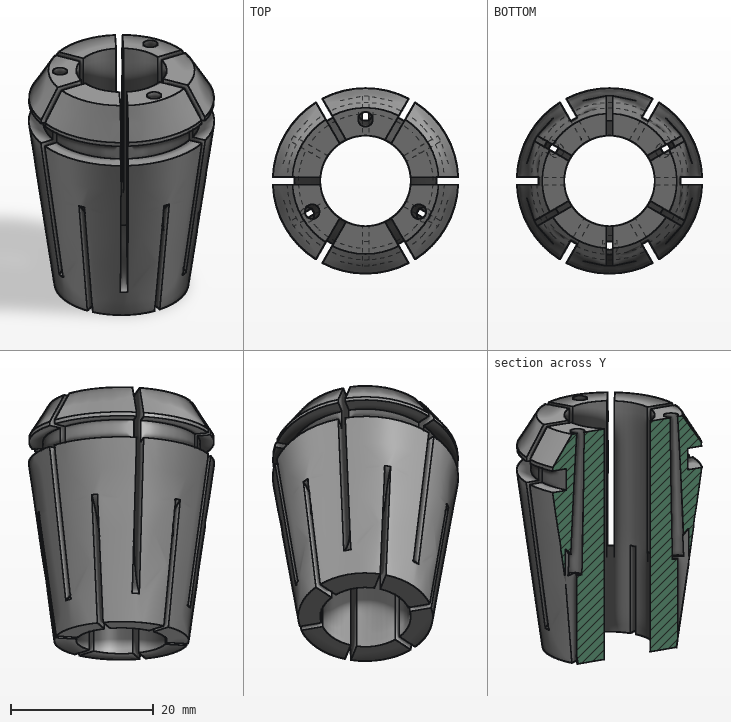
import cadquery as cq
import math

height = 34.0
bore_radius = 6.32
base_radius = 9.42
body_top_radius = 13.005
body_top_z = 25.9
neck_radius = 11.0
rim_radius = 12.95
rim_bottom_z = 29.0
rim_top_z = 29.58
head_top_radius = 10.25

slots_per_set = 6
slot_pitch = 360.0 / slots_per_set
slot_reach = body_top_radius + 1.7
upper_slot_width = 1.02
upper_slot_floor_z = 4.0
upper_slot_inner_z = 12.7
lower_slot_width = 0.85
lower_slot_top_z = 18.02
lower_slot_inner_z = 12.92
lower_runout_inner_radius = 8.43
runout_radius = 12.25

hole_count = 3
hole_radius = 1.02
hole_circle_radius = 8.6
hole_depth = 20.9
hole_tilt = 2.3
hole_overrun = 0.35
first_hole_angle = 90.0


def revolved_body():
    """Ring-shaped body turned about Z."""
    profile = [
        (bore_radius, 0),
        (base_radius, 0),
        (body_top_radius, body_top_z),
        (neck_radius, body_top_z),
        (neck_radius, rim_bottom_z),
        (rim_radius, rim_bottom_z),
        (rim_radius, rim_top_z),
        (head_top_radius, height),
        (bore_radius, height),
    ]
    return cq.Workplane("XZ").polyline(profile).close().revolve(360, (0, 0), (0, 1))


def body_radius_at(z):
    """Outer radius of the tapered body at height z."""
    return base_radius + (body_top_radius - base_radius) * z / body_top_z


def slot_cutter(width, skin_z, inner_x, inner_z, open_z):
    """Slot along +X from open_z, ending in an arc from (inner_x, inner_z) to skin_z at the taper.

    The arc bulges inward and toward the closed end, as a disc-shaped saw leaves it.
    """
    skin_x = body_radius_at(skin_z)
    run = skin_x - inner_x
    rise = skin_z - inner_z
    chord = math.hypot(run, rise)
    sagitta = runout_radius - math.sqrt(runout_radius**2 - (chord / 2) ** 2)
    middle_x = (inner_x + skin_x) / 2 - sagitta * abs(rise) / chord
    middle_z = (inner_z + skin_z) / 2 + sagitta * math.copysign(run, rise) / chord
    return (
        cq.Workplane("XZ")
        .moveTo(0, open_z)
        .lineTo(0, inner_z)
        .lineTo(inner_x, inner_z)
        .threePointArc((middle_x, middle_z), (skin_x, skin_z))
        .lineTo(slot_reach, skin_z)
        .lineTo(slot_reach, open_z)
        .close()
        .extrude(width / 2, both=True)
    )


def cut_around(body, cutter, count, first_angle):
    """Cut evenly spaced copies of a cutter around Z."""
    for index in range(count):
        angle = first_angle + index * 360.0 / count
        body = body.cut(cutter.rotate((0, 0, 0), (0, 0, 1), angle))
    return body


upper_slot = slot_cutter(upper_slot_width, upper_slot_floor_z, bore_radius, upper_slot_inner_z, height)
lower_slot = slot_cutter(
    lower_slot_width,
    lower_slot_top_z,
    lower_runout_inner_radius,
    lower_slot_inner_z,
    0,
)
hole = (
    cq.Workplane("XY", origin=(hole_circle_radius, 0, height - hole_depth))
    .circle(hole_radius)
    .extrude(hole_depth + hole_overrun)
    .rotate((hole_circle_radius, 0, height), (hole_circle_radius, 1, height), -hole_tilt)
)

result = revolved_body()
result = cut_around(result, upper_slot, slots_per_set, 0)
result = cut_around(result, lower_slot, slots_per_set, slot_pitch / 2)
result = cut_around(result, hole, hole_count, first_hole_angle)